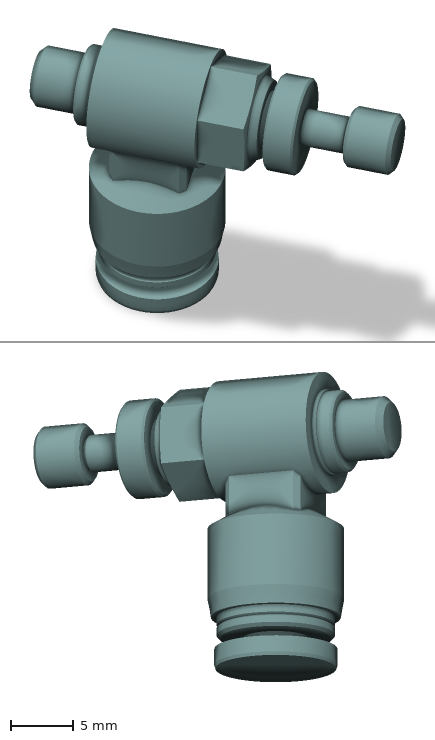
import cadquery as cq
import math

total_length = 30.2
total_height = 24.0

spigot_r = 2.5
spigot_chamfer = 0.5
spigot_end = 3.95
collar_r = 3.32
collar_chamfer = 0.18
collar_end = 5.25
seal_flange_r = 3.5
seal_flange_end = 5.55
seal_flange_chamfer = 0.1
body_r = 4.9
body_end = 14.6

hex_across_flats = 8.0
hex_end = 18.6
hex_bevel_run = 0.18
hex_face_r = 3.53

crown_tip_r = 3.23
crown_end = 19.3
neck_r = 2.42
neck_end = 19.97
nut_r = 4.0
nut_chamfer = 0.18
nut_end = 22.48
stem_r = 1.5
stem_chamfer = 0.12
stem_end = 26.07
stem_neck_r = 1.3
knob_r = spigot_r
knob_start = 26.22
knob_inner_chamfer = 0.3
knob_outer_chamfer = 0.35

branch_x = 10.1
block_width = 6.5
block_chamfer = 0.48
sleeve_r = 5.5
sleeve_shoulder_z = -7.58
shoulder_slope = math.tan(math.radians(30))
sleeve_taper_z = -13.38
sleeve_tip_r = 5.23
sleeve_bottom_z = -14.85
ring_r = 4.77
groove_depth = 0.2
groove_half_width = 0.15
groove_z = -15.65
ring_chamfer = 0.27
ring_bottom_z = -16.62
release_neck_r = 2.7
release_neck_flare = 0.12
release_top_z = -17.5
release_r = 4.95
release_chamfer_height = 0.27
release_chamfer_width = 0.1
base_z = body_r - total_height


def turned_along_x(outline):
    """Revolve (x, radius) points about the X axis; the outline closes along the axis."""
    points = [(outline[0][0], 0), *outline, (outline[-1][0], 0)]
    return cq.Workplane("XY").polyline(points).close().revolve(360, (0, 0, 0), (1, 0, 0))


def turned_about_branch(outline):
    """Revolve (radius, z) points about the vertical branch axis."""
    points = [(0, outline[0][1]), *outline, (0, outline[-1][1])]
    profile = cq.Workplane("XZ").polyline(points).close()
    return profile.revolve(360, (0, 0, 0), (0, 1, 0)).translate((branch_x, 0, 0))


def cylinder_x(start, end, radius, start_chamfer=0, end_chamfer=0):
    """Cylinder on the X axis with an optional 45 degree chamfer at each end."""
    cylinder = cq.Workplane("YZ", origin=(start, 0, 0)).circle(radius).extrude(end - start)
    if start_chamfer:
        cylinder = cylinder.faces("<X").chamfer(start_chamfer)
    if end_chamfer:
        cylinder = cylinder.faces(">X").chamfer(end_chamfer)
    return cylinder


def make_hex():
    """Hexagon with corners up and down, its outer face bevelled by a shallow cone."""
    corner_r = hex_across_flats / math.sqrt(3)
    hexagon = (
        cq.Workplane("YZ", origin=(body_end, 0, 0))
        .polygon(6, 2 * corner_r)
        .extrude(hex_end - body_end)
        .rotate((0, 0, 0), (1, 0, 0), 90)
    )
    bevel = turned_along_x([
        (body_end, corner_r),
        (hex_end - hex_bevel_run, corner_r),
        (hex_end, hex_face_r),
    ])
    return hexagon.intersect(bevel)


def make_block():
    """Square neck with chamfered corners, from the body axis down into the sleeve."""
    return (
        cq.Workplane("XY", origin=(branch_x, 0, sleeve_shoulder_z))
        .rect(block_width, block_width)
        .extrude(-sleeve_shoulder_z)
        .edges("|Z")
        .chamfer(block_chamfer)
    )


def make_sleeve():
    """Sleeve with a conical shoulder that meets the sides of the square neck."""
    shoulder_top_r = block_width / 2
    shoulder_top_z = sleeve_shoulder_z + shoulder_slope * (sleeve_r - shoulder_top_r)
    return turned_about_branch([
        (shoulder_top_r, shoulder_top_z),
        (sleeve_r, sleeve_shoulder_z),
        (sleeve_r, sleeve_taper_z),
        (sleeve_tip_r, sleeve_bottom_z),
    ])


def make_ring():
    """Retaining ring with a V groove round it and a chamfered lower edge."""
    return turned_about_branch([
        (ring_r, sleeve_bottom_z),
        (ring_r, groove_z + groove_half_width),
        (ring_r - groove_depth, groove_z),
        (ring_r, groove_z - groove_half_width),
        (ring_r, ring_bottom_z + ring_chamfer),
        (ring_r - ring_chamfer, ring_bottom_z),
    ])


def make_release_button():
    """Push-to-release button: flared neck and disc."""
    return turned_about_branch([
        (release_neck_r, ring_bottom_z),
        (release_neck_r, release_top_z + release_neck_flare),
        (release_neck_r + release_neck_flare, release_top_z),
        (release_r, release_top_z),
        (release_r, base_z + release_chamfer_height),
        (release_r - release_chamfer_width, base_z),
    ])


spigot = cylinder_x(0, spigot_end, spigot_r, start_chamfer=spigot_chamfer)
collar = cylinder_x(spigot_end, collar_end, collar_r, start_chamfer=collar_chamfer)
seal_flange = cylinder_x(collar_end, seal_flange_end, seal_flange_r, start_chamfer=seal_flange_chamfer)
body = cylinder_x(seal_flange_end, body_end, body_r)
crown = turned_along_x([(hex_end, hex_face_r), (crown_end, crown_tip_r)])
neck = cylinder_x(crown_end, neck_end, neck_r)
nut = cylinder_x(neck_end, nut_end, nut_r, nut_chamfer, nut_chamfer)
stem = cylinder_x(nut_end, stem_end, stem_r, end_chamfer=stem_chamfer)
stem_neck = cylinder_x(stem_end, knob_start, stem_neck_r)
knob = cylinder_x(knob_start, total_length, knob_r, knob_inner_chamfer, knob_outer_chamfer)

result = body
for piece in (
    seal_flange, collar, spigot, make_hex(), crown, neck, nut, stem, stem_neck, knob,
    make_block(), make_sleeve(), make_ring(), make_release_button(),
):
    result = result.union(piece)